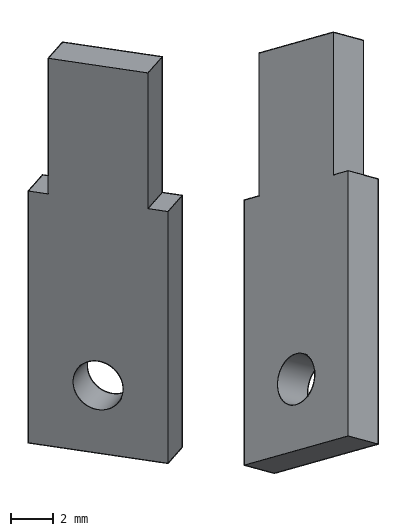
import cadquery as cq

total_height = 20.0
thickness = 2.0

body_width = 7.0
body_height = 13.0
tongue_width = 5.0
tongue_height = total_height - body_height

hole_diameter = 2.5
hole_height = body_width / 2


def upright_plate(width, height, base_height):
    """Plate centred on X and Y, standing on the given height."""
    return (
        cq.Workplane("XY")
        .workplane(offset=base_height)
        .box(width, thickness, height, centered=(True, True, False))
    )


body = upright_plate(body_width, body_height, 0)
tongue = upright_plate(tongue_width, tongue_height, body_height)

hole = (
    cq.Workplane("XZ", origin=(0, thickness / 2, 0))
    .center(0, hole_height)
    .circle(hole_diameter / 2)
    .extrude(thickness)
)

result = body.union(tongue).cut(hole)